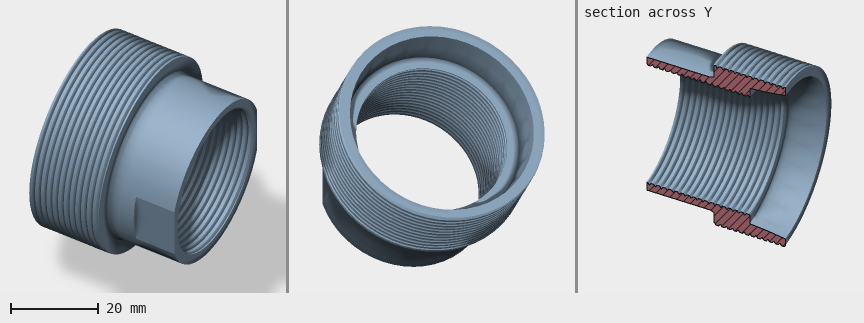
import cadquery as cq
import math

total_length = 35.0
collar_diameter = 48.3
collar_length = 18.1
hub_diameter = 40.3

blend_length = 1.0
blend_height = 0.4

recess_mouth_diameter = 43.2
recess_floor_diameter = 40.8
recess_depth = 9.0
bore_diameter = 35.3

flats_width = 38.0
flats_length = 10.0

thread_pitch = 1.5
flank_angle = 30.0
thread_depth = 0.65
bore_thread_lead = 0.15
groove_overlap = 0.1


def revolved_body():
    """Collar, blend and hub with the recess and the plain bore, turned about X."""
    collar_radius = collar_diameter / 2
    hub_radius = hub_diameter / 2
    bore_radius = bore_diameter / 2
    outline = [
        (0, recess_mouth_diameter / 2),
        (0, collar_radius),
        (collar_length, collar_radius),
        (collar_length, hub_radius + blend_height),
        (collar_length + blend_length, hub_radius),
        (total_length, hub_radius),
        (total_length, bore_radius),
        (recess_depth, bore_radius),
        (recess_depth, recess_floor_diameter / 2),
    ]
    return cq.Workplane("XY").polyline(outline).close().revolve(360, (0, 0), (1, 0))


def thread_groove(crest_radius, root_radius, start, turns):
    """Helical V groove along X, begun on the -Z side at X = start.

    It narrows from the crest radius to the root radius, which may lie on either side of the crest.
    """
    depth_direction = math.copysign(1, root_radius - crest_radius)
    mouth_radius = crest_radius - depth_direction * groove_overlap
    half_mouth = abs(root_radius - mouth_radius) * math.tan(math.radians(flank_angle))
    section = [
        (root_radius, 0),
        (mouth_radius, half_mouth),
        (mouth_radius, -half_mouth),
    ]
    path = cq.Wire.makeHelix(thread_pitch, turns * thread_pitch, crest_radius)
    groove = cq.Workplane("XZ").polyline(section).close().sweep(cq.Workplane(path), isFrenet=True)
    return groove.rotate((0, 0, 0), (0, 1, 0), 90).translate((start, 0, 0))


def cylinder_zone(start, end):
    """Cylinder about X that limits a thread groove to one stretch of the part."""
    return cq.Workplane("YZ", origin=(start, 0, 0)).circle(collar_diameter).extrude(end - start)


def collar_thread():
    """External groove that runs out of both faces of the collar."""
    crest_radius = collar_diameter / 2
    start = -thread_pitch
    turns = math.ceil((collar_length - start) / thread_pitch) + 1
    groove = thread_groove(crest_radius, crest_radius - thread_depth, start, turns)
    return groove.intersect(cylinder_zone(0, collar_length))


def bore_thread():
    """Internal groove that runs through the bore from the recess floor to the hub's end."""
    crest_radius = bore_diameter / 2
    start = recess_depth - bore_thread_lead - thread_pitch
    turns = math.ceil((total_length - start) / thread_pitch) + 1
    groove = thread_groove(crest_radius, crest_radius + thread_depth, start, turns)
    return groove.intersect(cylinder_zone(recess_depth, total_length))


def wrench_flat(side):
    """Block that trims one flat; side is 1 for +Y and -1 for -Y."""
    block = cq.Workplane("XY").box(flats_length, collar_diameter, collar_diameter)
    middle_y = side * (flats_width + collar_diameter) / 2
    return block.translate((total_length - flats_length / 2, middle_y, 0))


result = revolved_body()
for side in (1, -1):
    result = result.cut(wrench_flat(side))
result = result.cut(collar_thread())
result = result.cut(bore_thread())